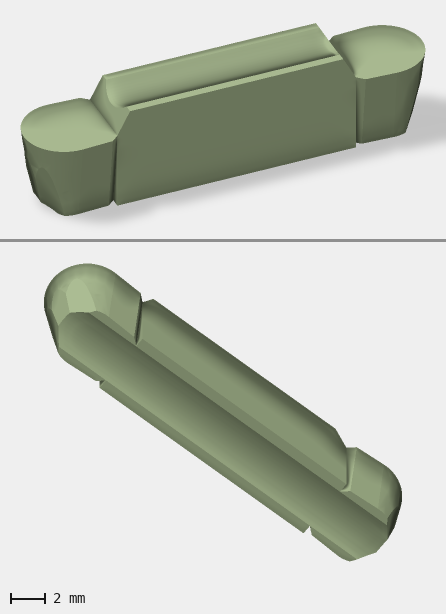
import cadquery as cq
import math

length = 25.0
body_height = 6.4
body_half_width = 2.0
body_half_length = 7.5
crest_half_length = 6.7

head_height = 4.9
nose_radius = 2.5
nose_center_y = length / 2 - nose_radius
flank_start_y = 7.95
clearance_angle = 7.0
flank_angle = 3.0

facet_angle = 12.0
facet_top = 3.42
facet_spacing = 35.0

groove_radius = 2.1
top_groove_depth = 0.62
bottom_groove_depth = 0.52


def tan_deg(angle):
    return math.tan(math.radians(angle))


def nose_radius_at(z):
    return nose_radius - (head_height - z) * tan_deg(clearance_angle)


def make_body():
    """Central bar with sloping shoulders above the heads."""
    side = [
        (-body_half_length, 0),
        (body_half_length, 0),
        (body_half_length, head_height),
        (crest_half_length, body_height),
        (-crest_half_length, body_height),
        (-body_half_length, head_height),
    ]
    return cq.Workplane("YZ").polyline(side).close().extrude(body_half_width, both=True)


def neck_outline(z):
    """Half-width points from the body to where the flank is tangent to the nose."""
    radius = nose_radius_at(z)
    tangent_x = radius * math.cos(math.radians(flank_angle))
    tangent_y = nose_center_y - radius * math.sin(math.radians(flank_angle))
    start_x = tangent_x - (tangent_y - flank_start_y) * tan_deg(flank_angle)
    neck_x = body_half_width - (nose_radius - radius)
    right = [
        (neck_x, body_half_length),
        (start_x, flank_start_y),
        (tangent_x, tangent_y),
    ]
    left = [(-x, y) for x, y in reversed(right)]
    return right + left


def make_neck():
    return (
        cq.Workplane("XY")
        .polyline(neck_outline(0)).close()
        .workplane(offset=head_height)
        .polyline(neck_outline(head_height)).close()
        .loft(ruled=True)
    )


def facet_cutter(turn):
    """Wedge outside one facet plane, turned about the nose axis."""
    apex = nose_radius_at(facet_top)
    foot = apex - facet_top * tan_deg(facet_angle)
    outside = 2 * nose_radius
    profile = [(foot, 0), (apex, facet_top), (outside, facet_top), (outside, 0)]
    wedge = cq.Workplane("YZ").polyline(profile).close().extrude(nose_radius, both=True)
    return wedge.rotate((0, 0, 0), (0, 0, 1), turn).translate((0, nose_center_y, 0))


def make_head():
    """Conical nose with three facets, joined to the body by its tapered neck."""
    nose = (
        cq.Workplane("XY")
        .center(0, nose_center_y)
        .circle(nose_radius_at(0))
        .workplane(offset=head_height)
        .circle(nose_radius)
        .loft()
    )
    for turn in (-facet_spacing, 0, facet_spacing):
        nose = nose.cut(facet_cutter(turn))
    return make_neck().union(nose)


def groove_cutter(axis_z):
    return (
        cq.Workplane("XZ")
        .center(0, axis_z)
        .circle(groove_radius)
        .extrude(length, both=True)
    )


head = make_head()
result = make_body().union(head).union(head.mirror("XZ"))
result = result.cut(groove_cutter(body_height - top_groove_depth + groove_radius))
result = result.cut(groove_cutter(bottom_groove_depth - groove_radius))